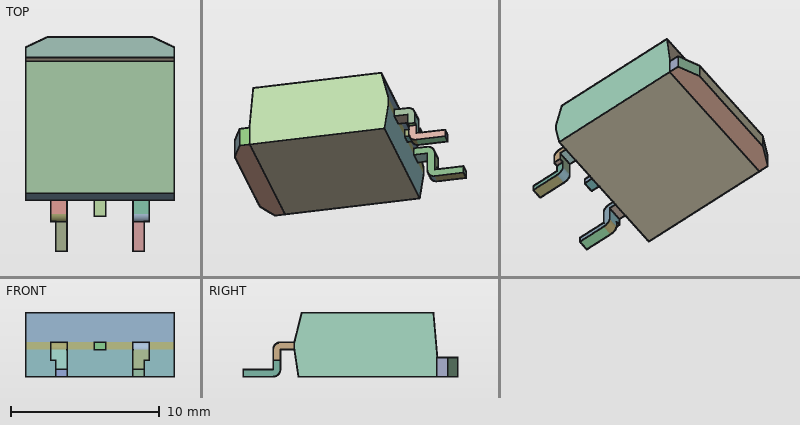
import cadquery as cq


width = 10.0
height = 4.31
total_length = 14.42

lead_thickness = 0.5
lead_top = 2.32
lead_bottom = lead_top - lead_thickness
lead_reach = 3.43
shank_front = 1.43
shank_back = shank_front - lead_thickness
bend_radius = lead_thickness
lead_inner_x = 2.2
shoulder_width = 1.11
foot_width = 0.78
shoulder_bottom = 1.11
stub_width = 0.8
stub_length = 1.07

tab_back = total_length - lead_reach
tab_length = 1.4
tab_front = tab_back - tab_length
tab_height = 1.3
tab_corner_x = 1.47
tab_corner_y = 0.69

top_front = 0.49
bottom_front = 0.27
top_back = tab_back - 1.63
bottom_back = tab_back - 1.25


def make_tab():
    """Metal tab with its two rear corners cut off."""
    half_width = width / 2
    return (
        cq.Workplane("XY")
        .moveTo(-half_width, tab_front)
        .lineTo(half_width, tab_front)
        .lineTo(half_width, tab_back - tab_corner_y)
        .lineTo(half_width - tab_corner_x, tab_back)
        .lineTo(-half_width + tab_corner_x, tab_back)
        .lineTo(-half_width, tab_back - tab_corner_y)
        .close()
        .extrude(tab_height)
    )


def make_housing(tab):
    """Moulded block with drafted front and back, recessed to seat the tab."""
    block = (
        cq.Workplane("YZ")
        .moveTo(bottom_front, 0)
        .lineTo(bottom_back, 0)
        .lineTo(top_back, height)
        .lineTo(top_front, height)
        .lineTo(0, lead_top)
        .lineTo(0, lead_bottom)
        .close()
        .extrude(width / 2, both=True)
    )
    return block.cut(tab)


def make_outer_lead(side):
    """Gull-wing lead; side is -1 for the -X lead and +1 for the +X lead."""
    arc_mid = bend_radius * 0.5 ** 0.5
    upper_bend_y = -shank_front + bend_radius
    upper_bend_z = lead_top - bend_radius
    lower_bend_y = -shank_back - bend_radius
    lower_bend_z = bend_radius
    strip = (
        cq.Workplane("YZ")
        .moveTo(0, lead_top)
        .lineTo(upper_bend_y, lead_top)
        .threePointArc(
            (upper_bend_y - arc_mid, upper_bend_z + arc_mid),
            (-shank_front, upper_bend_z),
        )
        .lineTo(-shank_front, lead_thickness)
        .lineTo(-lead_reach, lead_thickness)
        .lineTo(-lead_reach, 0)
        .lineTo(lower_bend_y, 0)
        .threePointArc(
            (lower_bend_y + arc_mid, lower_bend_z - arc_mid),
            (-shank_back, lower_bend_z),
        )
        .lineTo(-shank_back, lead_bottom)
        .lineTo(0, lead_bottom)
        .close()
        .extrude(side * shoulder_width)
        .translate((side * lead_inner_x, 0, 0))
    )
    trim_width = shoulder_width - foot_width
    trim = (
        cq.Workplane("XY")
        .box(trim_width, lead_reach, shoulder_bottom, centered=(True, False, False))
        .translate((side * (lead_inner_x + foot_width + trim_width / 2), -lead_reach, 0))
    )
    return strip.cut(trim)


def make_center_stub():
    """Short straight centre lead, cut off in front of the housing."""
    return (
        cq.Workplane("XY")
        .box(stub_width, stub_length, lead_thickness, centered=(True, False, False))
        .translate((0, -stub_length, lead_bottom))
    )


tab = make_tab()
housing = make_housing(tab)
center_stub = make_center_stub()
outer_leads = [make_outer_lead(side) for side in (-1, 1)]

result = cq.Compound.makeCompound(
    [housing.val(), tab.val(), center_stub.val(), *[lead.val() for lead in outer_leads]]
)